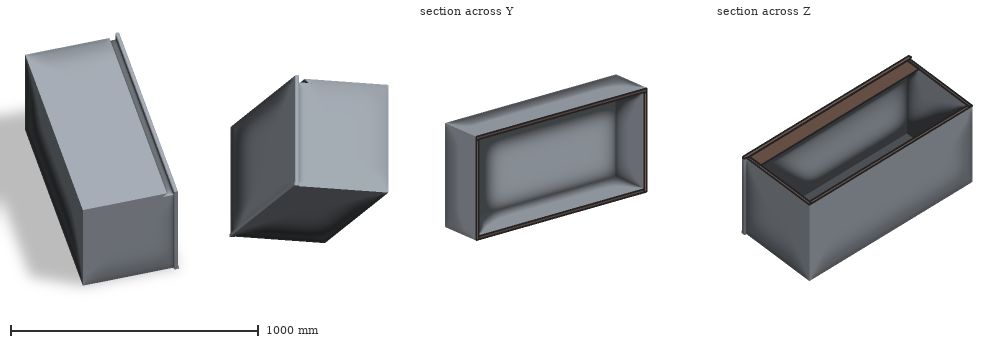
import cadquery as cq

door_width = 910.0
door_height = 460.0
overall_depth = 399.0

door_thickness = 16.0
door_chamfer = 3.0
lip_depth = 3.0
lip_height = 13.0

board = 16.0
side_board = 15.5
door_overhang = 11.0
rail_depth = 73.0
top_setback = 27.0

carcass_width = door_width - 2 * door_overhang
carcass_depth = overall_depth - door_thickness - lip_depth
side_height = door_height - door_overhang - board
inner_width = carcass_width - 2 * side_board


def block(size_x, size_y, size_z, y_start, z_start, x_center=0.0):
    """Box centred on x_center, starting at y_start and z_start."""
    box = cq.Workplane("XY").box(size_x, size_y, size_z, centered=(True, False, False))
    return box.translate((x_center, y_start, z_start))


def make_side(x_center):
    return block(side_board, carcass_depth, side_height, 0, 0, x_center)


def make_bottom():
    return block(inner_width, carcass_depth, board, 0, 0)


def make_back():
    """Back panel standing on the bottom board, flush with the side ends."""
    return block(inner_width, board, side_height - board, 0, board)


def make_rail():
    """Rail behind the door, flush with the top of the sides."""
    return block(inner_width, rail_depth, board, carcass_depth - rail_depth, side_height - board)


def make_top():
    """Top board whose door-side edge is undercut at 45 degrees as a finger grip."""
    grip_edge = carcass_depth - top_setback
    outline = [
        (0, side_height),
        (grip_edge - board, side_height),
        (grip_edge, side_height + board),
        (0, side_height + board),
    ]
    profile = cq.Workplane("YZ").polyline(outline).close()
    return profile.extrude(carcass_width / 2, both=True)


def make_door():
    """Door with the top and side edges of both faces chamfered."""
    door = block(door_width, door_thickness, door_height, carcass_depth, 0)
    return door.faces("<Y or >Y").edges("|Z or >Z").chamfer(door_chamfer)


def make_lip():
    """Strip on the outer face of the door, over its full width."""
    return block(door_width, lip_depth, lip_height, carcass_depth + door_thickness, 0)


side_offset = (carcass_width - side_board) / 2
sides = [make_side(x) for x in (-side_offset, side_offset)]
bottom = make_bottom()
back = make_back()
rail = make_rail()
top = make_top()
door = make_door()
lip = make_lip()

result = cq.Compound.makeCompound(
    [side.val() for side in sides]
    + [bottom.val(), back.val(), rail.val(), top.val(), door.val(), lip.val()]
)